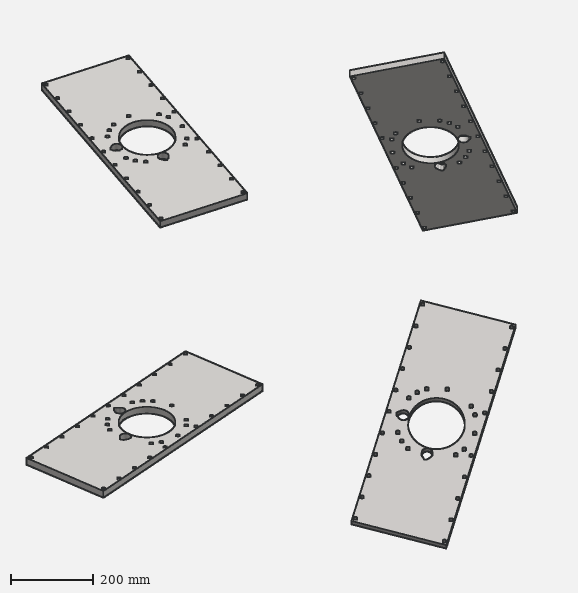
import cadquery as cq
import math

length = 620
width = 240.0
thickness = 20.0

edge_hole_diameter = 8.5
edge_hole_pitch = 60.0
edge_hole_inset = 7.5
edge_steps = 5

bore_diameter = 138.0
bore_offset_y = 7.5
bolt_hole_diameter = 10.0
bolt_circle_radius = 97.0
bolt_angles = [45, 60, 90, 120, 135, 180, 210, 225, 240, 300, 315, 330]

teardrop_angles = [0, 270]
teardrop_wide_radius = 13.5
teardrop_wide_distance = 84.0
teardrop_tip_radius = bolt_hole_diameter / 2


def polar_point(radius, angle):
    """Point at the given radius and angle in degrees."""
    return radius * math.cos(math.radians(angle)), radius * math.sin(math.radians(angle))


def through_holes(points, diameter):
    """Cylinders that cut holes through the plate at the given points."""
    return cq.Workplane("XY").pushPoints(points).circle(diameter / 2).extrude(thickness)


def edge_hole_points():
    """Hole rows; the middle hole is left out of the +Y row."""
    row_y = width / 2 - edge_hole_inset
    points = []
    for step in range(-edge_steps, edge_steps + 1):
        x = step * edge_hole_pitch
        points.append((x, -row_y))
        if step != 0:
            points.append((x, row_y))
    return points


def teardrop(angle):
    """Two arcs joined by their common tangents, pointing away from the bore."""
    spacing = bolt_circle_radius - teardrop_wide_distance
    tangent_angle = math.degrees(math.acos((teardrop_wide_radius - teardrop_tip_radius) / spacing))
    wide_x, wide_y = polar_point(teardrop_wide_radius, tangent_angle)
    tip_x, tip_y = polar_point(teardrop_tip_radius, tangent_angle)
    wide_x += teardrop_wide_distance
    tip_x += bolt_circle_radius
    return (
        cq.Workplane("XY")
        .moveTo(wide_x, wide_y)
        .threePointArc((teardrop_wide_distance - teardrop_wide_radius, 0), (wide_x, -wide_y))
        .lineTo(tip_x, -tip_y)
        .threePointArc((bolt_circle_radius + teardrop_tip_radius, 0), (tip_x, tip_y))
        .close()
        .extrude(thickness)
        .rotate((0, 0, 0), (0, 0, 1), angle)
    )


bolt_points = [polar_point(bolt_circle_radius, angle) for angle in bolt_angles]

bore_pattern = through_holes([(0, 0)], bore_diameter).add(through_holes(bolt_points, bolt_hole_diameter))
for drop_angle in teardrop_angles:
    bore_pattern = bore_pattern.add(teardrop(drop_angle))

result = cq.Workplane("XY").box(length, width, thickness, centered=(True, True, False))
result = result.cut(through_holes(edge_hole_points(), edge_hole_diameter))
for cutter in bore_pattern.vals():
    result = result.cut(cq.Workplane(cutter.translate(cq.Vector(0, bore_offset_y, 0))))